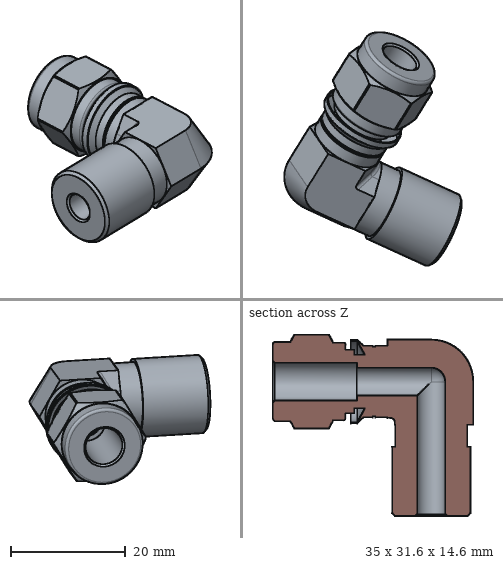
import cadquery as cq
import math

TUBE_END = 27.63

BODY_CORNER_RADIUS = 7.35
BODY_APOTHEM = BODY_CORNER_RADIUS * math.cos(math.radians(30))
TUBE_SHOULDER = 7.62
PORT_SHOULDER = 7.55
CROTCH_FILLET = 0.7
NECK_RADIUS = 6.3

COLLAR_RADIUS = 13.9 / 2
COLLAR_FILLET = 0.52
HEX_START = 3.08
HEX_END = 10.5
HEX_FLATS = 14.35
HEX_ROUNDING_RADIUS = 16.4 / 2
HEX_CHAMFER_RADIUS = 7.0
HEX_CHAMFER_LENGTH = (HEX_ROUNDING_RADIUS - HEX_CHAMFER_RADIUS) * math.tan(math.radians(30))
SLEEVE_RADIUS = 13.6 / 2
SLEEVE_END = 12.73
SLEEVE_FILLET = 0.4
GAP_RADIUS = 11.12 / 2
GAP_STEP_END = 14.25
CORE_RADIUS = 9.4 / 2
FLANGE_RADIUS = 14.6 / 2
FLANGE_START = 13.6
FLANGE_RIM_END = 14.72
FLANGE_CONE_END = 15.8
FLANGE_WALL = 0.25
FLANGE_HOLLOW_END = 16.0
GROOVE_RADIUS = 6.12
GROOVE_START = 17.45
GROOVE_WIDTH = 0.4

OVERALL_WIDTH = 31.6
PORT_END = OVERALL_WIDTH - HEX_ROUNDING_RADIUS
PORT_RADIUS = 13.7 / 2
PORT_START = 11.33
PORT_CHAMFER = 0.52

FLOW_RADIUS = 4.83 / 2
TUBE_BORE_RADIUS = 6.55 / 2
TUBE_BORE_DEPTH = 14.7
BORE_CHAMFER = 0.35


def along_x(radius, start, end):
    """Cylinder on the tube axis between two distances from the open end."""
    return cq.Workplane("YZ").workplane(offset=start - TUBE_END).circle(radius).extrude(end - start)


def along_y(radius, start, end):
    """Cylinder on the port axis between two distances from the origin."""
    return cq.Workplane("XZ").workplane(offset=start).circle(radius).extrude(end - start)


def body_section(plane, inner):
    """Half hexagon; on the inner side its point is rounded tangent to both flanks."""
    half_flat = BODY_CORNER_RADIUS / 2
    if not inner:
        return (
            cq.Workplane(plane)
            .moveTo(0, -BODY_APOTHEM)
            .lineTo(half_flat, -BODY_APOTHEM)
            .lineTo(BODY_CORNER_RADIUS, 0)
            .lineTo(half_flat, BODY_APOTHEM)
            .lineTo(0, BODY_APOTHEM)
            .close()
        )
    tangent_across = BODY_APOTHEM * math.cos(math.radians(30))
    tangent_height = BODY_APOTHEM * math.sin(math.radians(30))
    return (
        cq.Workplane(plane)
        .moveTo(0, -BODY_APOTHEM)
        .lineTo(-half_flat, -BODY_APOTHEM)
        .lineTo(-tangent_across, -tangent_height)
        .threePointArc((-BODY_APOTHEM, 0), (-tangent_across, tangent_height))
        .lineTo(-half_flat, BODY_APOTHEM)
        .lineTo(0, BODY_APOTHEM)
        .close()
    )


def make_body():
    inner = body_section("YZ", True).extrude(-TUBE_SHOULDER)
    inner = inner.union(body_section("XZ", True).extrude(PORT_SHOULDER))
    margin = 0.35
    half_flat = BODY_CORNER_RADIUS / 2
    crotch = cq.selectors.BoxSelector(
        (-BODY_APOTHEM - margin, -BODY_APOTHEM - margin, -BODY_APOTHEM + margin),
        (-half_flat - margin, -half_flat - margin, BODY_APOTHEM - margin),
    )
    seam = inner.edges(crotch).edges("not(|X or |Y)")
    body = seam.fillet(CROTCH_FILLET)
    body = body.union(body_section("YZ", False).extrude(-TUBE_SHOULDER))
    body = body.union(body_section("XZ", False).extrude(PORT_SHOULDER))
    bend = body_section("XZ", False).revolve(90, (0, 0, 0), (0, 1, 0))
    return body.union(bend)


def make_hex_nut():
    length = HEX_END - HEX_START
    corner_diameter = HEX_FLATS / math.cos(math.radians(30))
    prism = (
        cq.Workplane("YZ")
        .workplane(offset=HEX_START - TUBE_END)
        .polygon(6, corner_diameter)
        .extrude(length)
    )
    envelope = (
        cq.Workplane("XY")
        .moveTo(HEX_START - TUBE_END, 0)
        .lineTo(HEX_START - TUBE_END, HEX_CHAMFER_RADIUS)
        .lineTo(HEX_START - TUBE_END + HEX_CHAMFER_LENGTH, HEX_ROUNDING_RADIUS)
        .lineTo(HEX_END - TUBE_END - HEX_CHAMFER_LENGTH, HEX_ROUNDING_RADIUS)
        .lineTo(HEX_END - TUBE_END, HEX_CHAMFER_RADIUS)
        .lineTo(HEX_END - TUBE_END, 0)
        .close()
    )
    return prism.intersect(envelope.revolve(360, (0, 0, 0), (1, 0, 0)))


def make_tube_arm():
    shoulder = TUBE_END - TUBE_SHOULDER
    collar = along_x(COLLAR_RADIUS, 0, HEX_START).faces("<X").edges().fillet(COLLAR_FILLET)
    sleeve = along_x(SLEEVE_RADIUS, HEX_END, SLEEVE_END).faces(">X").edges().fillet(SLEEVE_FILLET)
    flange = (
        cq.Workplane("XY")
        .moveTo(FLANGE_START - TUBE_END, 0)
        .lineTo(FLANGE_START - TUBE_END, FLANGE_RADIUS)
        .lineTo(FLANGE_RIM_END - TUBE_END, FLANGE_RADIUS)
        .lineTo(FLANGE_CONE_END - TUBE_END, NECK_RADIUS)
        .lineTo(FLANGE_CONE_END - TUBE_END, 0)
        .close()
        .revolve(360, (0, 0, 0), (1, 0, 0))
    )
    hollow = (
        cq.Workplane("XY")
        .moveTo(FLANGE_START - TUBE_END, CORE_RADIUS)
        .lineTo(FLANGE_START - TUBE_END, FLANGE_RADIUS - FLANGE_WALL)
        .lineTo(FLANGE_RIM_END - TUBE_END, FLANGE_RADIUS - FLANGE_WALL)
        .lineTo(FLANGE_HOLLOW_END - TUBE_END, CORE_RADIUS)
        .close()
        .revolve(360, (0, 0, 0), (1, 0, 0))
    )
    groove_end = GROOVE_START + GROOVE_WIDTH
    arm = collar.union(make_hex_nut()).union(sleeve).union(flange)
    arm = arm.union(along_x(NECK_RADIUS, FLANGE_CONE_END, GROOVE_START))
    arm = arm.union(along_x(GROOVE_RADIUS, GROOVE_START, groove_end))
    arm = arm.union(along_x(NECK_RADIUS, groove_end, shoulder)).cut(hollow)
    return arm.union(along_x(GAP_RADIUS, SLEEVE_END, GAP_STEP_END))


def make_port_arm():
    neck = along_y(NECK_RADIUS, PORT_SHOULDER, PORT_START)
    port = along_y(PORT_RADIUS, PORT_START, PORT_END).faces("<Y").edges().chamfer(PORT_CHAMFER)
    return neck.union(port)


def make_bores():
    flow = along_x(FLOW_RADIUS, 0, TUBE_END).union(along_y(FLOW_RADIUS, 0, PORT_END))
    flow = flow.union(cq.Workplane("XY").sphere(FLOW_RADIUS))
    tube_mouth = cq.Solid.makeCone(
        TUBE_BORE_RADIUS + BORE_CHAMFER, TUBE_BORE_RADIUS, BORE_CHAMFER,
        cq.Vector(-TUBE_END, 0, 0), cq.Vector(1, 0, 0),
    )
    port_mouth = cq.Solid.makeCone(
        FLOW_RADIUS + BORE_CHAMFER, FLOW_RADIUS, BORE_CHAMFER,
        cq.Vector(0, -PORT_END, 0), cq.Vector(0, 1, 0),
    )
    bores = flow.union(along_x(TUBE_BORE_RADIUS, 0, TUBE_BORE_DEPTH))
    return bores.union(cq.Workplane(tube_mouth)).union(cq.Workplane(port_mouth))


result = make_body().union(make_tube_arm()).union(make_port_arm()).cut(make_bores())